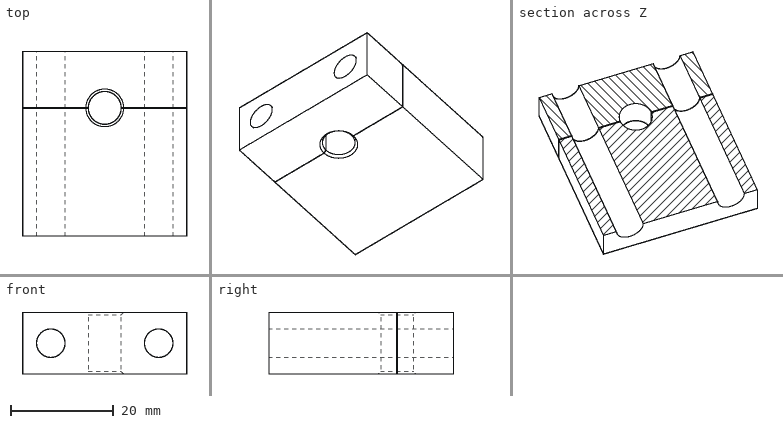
import cadquery as cq


width = 32.0
height = 12.0
base_end_to_bore = 24.93
cap_end_to_bore = 11.0
clamping_gap = 0.07

bore_diameter = 6.35
bore_chamfer = 0.5
bore_mouth_diameter = bore_diameter + 2 * bore_chamfer

bolt_hole_diameter = 5.5
bolt_spacing = 21.0


def block(y_start, y_end):
    """Plain block across the full width and height, between two y positions."""
    depth = y_end - y_start
    return cq.Workplane("XY").box(width, depth, height).translate((0, (y_start + y_end) / 2, 0))


def rod_bore():
    """Upright bore through the full height, with a chamfered mouth at the top and bottom."""
    bore_radius = bore_diameter / 2
    mouth_radius = bore_mouth_diameter / 2
    top = height / 2
    profile = [
        (0, -top),
        (mouth_radius, -top),
        (bore_radius, -top + bore_chamfer),
        (bore_radius, top - bore_chamfer),
        (mouth_radius, top),
        (0, top),
    ]
    return cq.Workplane("XZ").polyline(profile).close().revolve(360, (0, 0, 0), (0, 1, 0))


def bolt_holes():
    """Pair of holes along Y, passing through the base and the cap."""
    return (
        cq.Workplane("XZ", origin=(0, cap_end_to_bore, 0))
        .pushPoints([(-bolt_spacing / 2, 0), (bolt_spacing / 2, 0)])
        .circle(bolt_hole_diameter / 2)
        .extrude(base_end_to_bore + cap_end_to_bore)
    )


base = block(-base_end_to_bore, -clamping_gap / 2).cut(rod_bore()).cut(bolt_holes())
cap = block(clamping_gap / 2, cap_end_to_bore).cut(rod_bore()).cut(bolt_holes())

result = cq.Compound.makeCompound([base.val(), cap.val()])